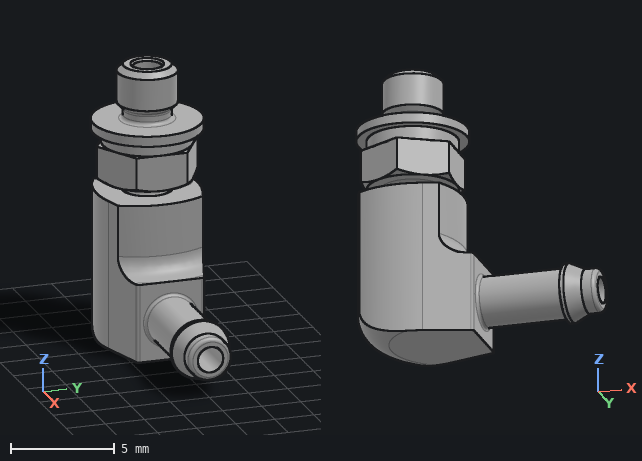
import cadquery as cq
import math

body_height = 7.62
lobe_radius = 4.4
half_width = 2.59
lobe_offset = lobe_radius - half_width
outlet_face_x = 3.61
side_angle = math.radians(16.4)
outlet_corner_radius = 0.17
heel_radius = 1.51
shoulder_z = 4.0
shoulder_radius = 1.0

top_z = 14.0
stem_radius = 2.38 / 2
stud_radius = 3.0 / 2
stud_chamfer = 0.31
stud_bottom_z = 12.08
washer_radius = 5.5 / 2
washer_top_z = 11.21
washer_bottom_z = 10.7
collar_radius = 4.5 / 2
hex_top_z = 10.02
hex_bottom_z = 8.2
hex_across_flats = 4.5
hex_chamfer_height = 0.2
stem_fillet = 0.2
neck_groove_radius = 0.39

barb_z = 2.0
barb_tube_radius = 2.5 / 2
barb_root_fillet = 0.15
barb_ridge_radius = 2.95 / 2
barb_ridge_start_x = 7.9
barb_ridge_end_x = 8.1
barb_ridge_fillet = 0.11
barb_tip_radius = 2.2 / 2
barb_cone_end_x = 8.89
barb_end_x = 12.35 - washer_radius
barb_tip_fillet = 0.2

stud_bore_radius = 1.4 / 2
bore_chamfer = 0.11
barb_bore_radius = 1.3 / 2
bore_floor_z = barb_z - barb_bore_radius

ROUND_QUARTER = math.sqrt(0.5)


def make_body():
    """Extrude the lobed plan, then shape its heel and the shoulder over the outlet."""
    diagonal_offset = lobe_offset * ROUND_QUARTER
    corner_reach = math.sqrt(lobe_radius**2 - diagonal_offset**2) - diagonal_offset
    corner = corner_reach * ROUND_QUARTER
    tangent_x = lobe_radius * math.sin(side_angle)
    tangent_y = lobe_radius * math.cos(side_angle) - lobe_offset
    outlet_half_width = tangent_y - (outlet_face_x - tangent_x) * math.tan(side_angle)
    body = (
        cq.Workplane("XY")
        .moveTo(-corner, -corner)
        .threePointArc((0, -half_width), (tangent_x, -tangent_y))
        .lineTo(outlet_face_x, -outlet_half_width)
        .lineTo(outlet_face_x, outlet_half_width)
        .lineTo(tangent_x, tangent_y)
        .threePointArc((0, half_width), (-corner, corner))
        .threePointArc((-half_width, 0), (-corner, -corner))
        .close()
        .extrude(body_height)
        .edges("|Z and >X")
        .fillet(outlet_corner_radius)
    )
    return body.cut(shoulder_cutter()).cut(heel_cutter())


def half_space(x_sign):
    """Large block covering one side of the YZ plane, +X or -X by sign."""
    block_size = 2 * top_z
    return cq.Workplane("XY").box(block_size, block_size, block_size).translate((x_sign * block_size / 2, 0, 0))


def shoulder_cutter():
    """Ring outside the +X lobe, with a concave fillet down to the outlet shoulder."""
    cutter_radius = 2 * lobe_radius
    fillet_drop = shoulder_radius * (1 - ROUND_QUARTER)
    return (
        cq.Workplane("XZ")
        .moveTo(lobe_radius, body_height)
        .lineTo(lobe_radius, shoulder_z + shoulder_radius)
        .threePointArc(
            (lobe_radius + fillet_drop, shoulder_z + fillet_drop),
            (lobe_radius + shoulder_radius, shoulder_z),
        )
        .lineTo(cutter_radius, shoulder_z)
        .lineTo(cutter_radius, body_height)
        .close()
        .revolve(360, (0, 0), (0, 1))
        .intersect(half_space(1))
        .translate((-lobe_offset, 0, 0))
    )


def heel_cutter():
    """Ring sector that leaves the lower edge of the -X lobe rounded."""
    inner_radius = lobe_radius - heel_radius
    arc_rise = heel_radius * (1 - ROUND_QUARTER)
    return (
        cq.Workplane("XZ")
        .moveTo(-inner_radius, 0)
        .threePointArc((arc_rise - lobe_radius, arc_rise), (-lobe_radius, heel_radius))
        .lineTo(-lobe_radius, 0)
        .close()
        .revolve(360, (0, 0), (0, 1))
        .intersect(half_space(-1))
        .translate((lobe_offset, 0, 0))
    )


def make_stud():
    """Revolve the chamfered stud, its undercut and the washer."""
    cone_end_radius = stem_radius + stem_fillet * (1 - ROUND_QUARTER)
    cone_end_z = stud_bottom_z - (stud_radius - cone_end_radius)
    blend_end_z = cone_end_z - stem_fillet * ROUND_QUARTER
    fillet_drop = stem_fillet * (1 - ROUND_QUARTER)
    return (
        cq.Workplane("XZ")
        .moveTo(0, top_z)
        .lineTo(stud_radius - stud_chamfer, top_z)
        .lineTo(stud_radius, top_z - stud_chamfer)
        .lineTo(stud_radius, stud_bottom_z)
        .lineTo(cone_end_radius, cone_end_z)
        .tangentArcPoint((stem_radius, blend_end_z), relative=False)
        .lineTo(stem_radius, washer_top_z + stem_fillet)
        .threePointArc(
            (stem_radius + fillet_drop, washer_top_z + fillet_drop),
            (stem_radius + stem_fillet, washer_top_z),
        )
        .lineTo(washer_radius, washer_top_z)
        .lineTo(washer_radius, washer_bottom_z)
        .lineTo(collar_radius, washer_bottom_z)
        .lineTo(collar_radius, hex_top_z)
        .lineTo(0, hex_top_z)
        .close()
        .revolve(360, (0, 0), (0, 1))
    )


def make_nut():
    """Hexagon with corners on the Y axis and chamfered lower corners."""
    corner_diameter = hex_across_flats / math.cos(math.pi / 6)
    hexagon = (
        cq.Workplane("XY", origin=(0, 0, hex_bottom_z))
        .transformed(rotate=(0, 0, 90))
        .polygon(6, corner_diameter)
        .extrude(hex_top_z - hex_bottom_z)
    )
    envelope = (
        cq.Workplane("XY", origin=(0, 0, hex_bottom_z))
        .circle(corner_diameter / 2)
        .extrude(hex_top_z - hex_bottom_z)
        .faces("<Z")
        .chamfer(hex_chamfer_height, (corner_diameter - hex_across_flats) / 2)
    )
    return hexagon.intersect(envelope)


def make_neck():
    """Stem between body and nut, hollowed by a round groove that flares into the nut."""
    arc_centre_radius = stem_radius + neck_groove_radius
    arc_centre_z = hex_bottom_z - neck_groove_radius
    body_end_radius = arc_centre_radius - math.sqrt(neck_groove_radius**2 - (arc_centre_z - body_height) ** 2)
    return (
        cq.Workplane("XZ")
        .moveTo(0, body_height)
        .lineTo(body_end_radius, body_height)
        .threePointArc((stem_radius, arc_centre_z), (arc_centre_radius, hex_bottom_z))
        .lineTo(0, hex_bottom_z)
        .close()
        .revolve(360, (0, 0), (0, 1))
    )


def make_barb():
    """Revolve the hose tube, retaining ridge and rounded tip about the outlet axis."""
    root_drop = barb_root_fillet * (1 - ROUND_QUARTER)
    ridge_drop = barb_ridge_fillet * (1 - ROUND_QUARTER)
    tip_drop = barb_tip_fillet * (1 - ROUND_QUARTER)
    return (
        cq.Workplane("XZ", origin=(0, 0, barb_z))
        .moveTo(outlet_face_x, 0)
        .lineTo(outlet_face_x, barb_tube_radius + barb_root_fillet)
        .threePointArc(
            (outlet_face_x + root_drop, barb_tube_radius + root_drop),
            (outlet_face_x + barb_root_fillet, barb_tube_radius),
        )
        .lineTo(barb_ridge_start_x - barb_ridge_fillet, barb_tube_radius)
        .threePointArc(
            (barb_ridge_start_x - ridge_drop, barb_tube_radius + ridge_drop),
            (barb_ridge_start_x, barb_tube_radius + barb_ridge_fillet),
        )
        .lineTo(barb_ridge_start_x, barb_ridge_radius)
        .lineTo(barb_ridge_end_x, barb_ridge_radius)
        .lineTo(barb_cone_end_x, barb_tip_radius)
        .lineTo(barb_end_x - barb_tip_fillet, barb_tip_radius)
        .threePointArc(
            (barb_end_x - tip_drop, barb_tip_radius - tip_drop),
            (barb_end_x, barb_tip_radius - barb_tip_fillet),
        )
        .lineTo(barb_end_x, 0)
        .close()
        .revolve(360, (0, 0), (1, 0))
    )


def make_passage():
    """Countersunk vertical bore that meets the barb bore inside the body."""
    vertical = (
        cq.Workplane("XZ")
        .moveTo(0, bore_floor_z)
        .lineTo(stud_bore_radius, bore_floor_z)
        .lineTo(stud_bore_radius, top_z - bore_chamfer)
        .lineTo(stud_bore_radius + bore_chamfer, top_z)
        .lineTo(0, top_z)
        .close()
        .revolve(360, (0, 0), (0, 1))
    )
    horizontal = cq.Workplane("YZ").center(0, barb_z).circle(barb_bore_radius).extrude(barb_end_x)
    return vertical.union(horizontal)


solid = make_body().union(make_neck()).union(make_nut()).union(make_stud()).union(make_barb())
result = solid.cut(make_passage())